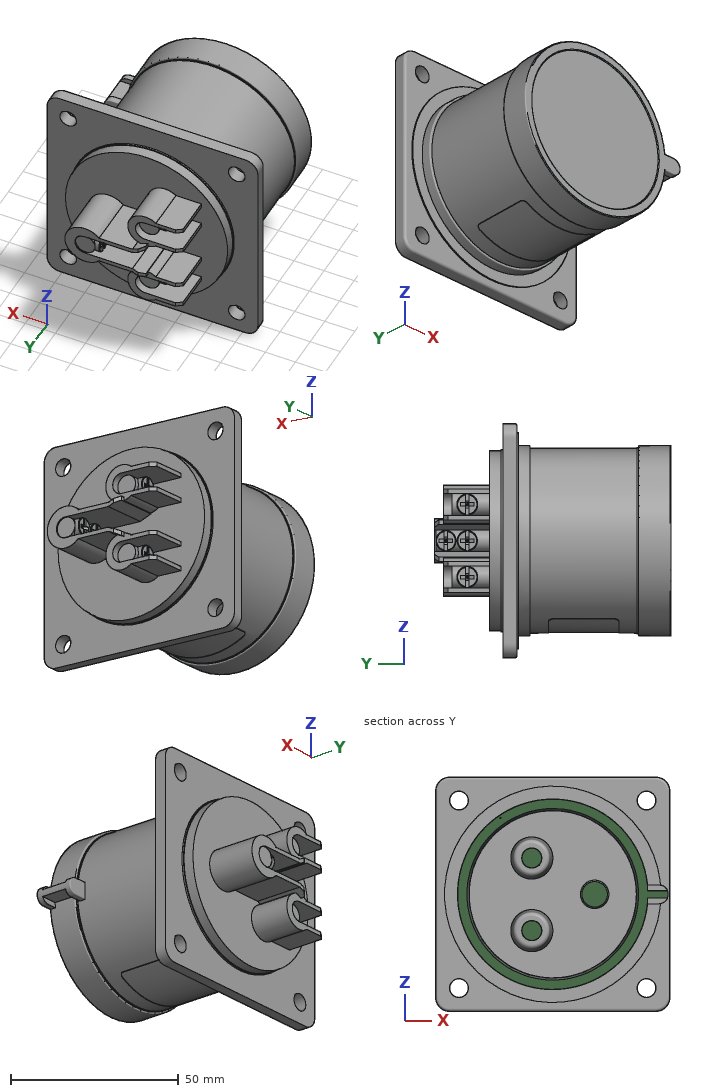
import cadquery as cq
import math


band_end = 9.75
collar_start = 42.15
plate_front = 45.95
plate_back = 50.3
rear_boss_end = 54.3
outer_terminal_end = 68.0
centre_terminal_end = 70.7

band_diameter = 56.9
tube_diameter = 55.3
band_lip_diameter = 55.65
band_lip_length = 0.4
mouth_diameter = 51.2
cavity_floor_diameter = 49.9
cavity_depth = plate_front
edge_round = 0.3

plate_side = 70.0
plate_corner_radius = 4.25
plate_edge_round = 0.85
plate_hole_diameter = 5.5
plate_hole_pitch = 56.0
plate_pad_diameter = 64.6
plate_pad_height = 0.4

rear_boss_diameter = 53.9
rear_step_diameter = 54.45
rear_step_length = 0.6

lug_tip = 34.5
lug_half_width = 2.8
lug_length = 13.0
lug_pocket_start = 2.1
lug_pocket_end = 10.9
lug_web_half_thickness = 1.1

pin_circle_radius = 12.5
pin_depth = 1.3
pin_tip_diameter = 3.4
outer_pin_diameter = 6.0
earth_pin_diameter = 8.5
tower_height = 9.9
tower_base_diameter = 12.6
tower_shoulder_diameter = 10.9
tower_top_diameter = 8.5

outer_barrel_diameter = 11.6
centre_barrel_diameter = 13.2
terminal_half_width = 4.6
channel_diameter = 6.5
outer_terminal_face = -18.25
centre_terminal_face = -7.15
flare_start = -3.3
flare_spread = 1.6
chamfer_depth = 2.0
chamfer_length = 1.35
outer_sleeve_recess = 2.6
centre_sleeve_recess = 0.4

screw_y = 60.9
second_screw_y = 67.25
outer_screw_diameter = 6.2
centre_screw_diameter = 6.0
screw_head_height = 1.4
screw_slot_width = 1.05
screw_cross_length = 4.0
screw_cross_height = 3.25
screw_slot_depth = 0.4
screw_cross_depth = 1.3
screw_edge_chamfer = 0.2

label_start = 15.6
label_end = 36.6
label_width = 29.4
label_corner_radius = 1.4
label_depth = 0.15

outer_angle = math.radians(120)
outer_pin_x = pin_circle_radius * math.cos(outer_angle)
outer_pin_z = pin_circle_radius * math.sin(outer_angle)
outer_centres = [(outer_pin_x, outer_pin_z), (outer_pin_x, -outer_pin_z)]
earth_centre = (pin_circle_radius, 0)


def section(y):
    """Workplane across the axis at station y, with local axes X and Z."""
    return cq.Workplane("XZ", origin=(0, y, 0))


def rod(diameter, start, end, centre=(0, 0)):
    """Round rod parallel to Y."""
    return section(start).center(*centre).circle(diameter / 2).extrude(start - end)


def build_barrel():
    band = rod(band_diameter, 0, band_end).edges().fillet(edge_round)
    tube = rod(tube_diameter, edge_round, plate_front)
    collar = rod(band_diameter, collar_start, plate_front).faces("<Y").edges().fillet(edge_round)
    lip = rod(band_lip_diameter, band_end, band_end + band_lip_length)
    return tube.union(band).union(lip).union(collar)


def build_label_recess():
    block = (
        cq.Workplane("XY")
        .center(0, (label_start + label_end) / 2)
        .rect(label_width, label_end - label_start)
        .extrude(-tube_diameter)
        .edges("|Z")
        .fillet(label_corner_radius)
    )
    return block.cut(rod(tube_diameter - 2 * label_depth, 0, plate_front))


def build_plate():
    plate = section(plate_front).rect(plate_side, plate_side).extrude(plate_front - plate_back)
    plate = plate.edges("|Y").fillet(plate_corner_radius)
    plate = plate.faces("<Y").edges().fillet(plate_edge_round)
    pad = rod(plate_pad_diameter, plate_front - plate_pad_height, plate_back)
    return plate.union(pad)


def build_plate_holes():
    return (
        section(plate_front)
        .rect(plate_hole_pitch, plate_hole_pitch, forConstruction=True)
        .vertices()
        .circle(plate_hole_diameter / 2)
        .extrude(plate_front - plate_back)
    )


def build_rear_boss():
    boss = rod(rear_boss_diameter, plate_back, rear_boss_end)
    return boss.union(rod(rear_step_diameter, plate_back, plate_back + rear_step_length))


def build_lug():
    root = (mouth_diameter + band_diameter) / 4
    arc_centre = lug_tip - lug_half_width
    lug = (
        section(0)
        .moveTo(root, -lug_half_width)
        .lineTo(arc_centre, -lug_half_width)
        .threePointArc((lug_tip, 0), (arc_centre, lug_half_width))
        .lineTo(root, lug_half_width)
        .close()
        .extrude(-lug_length)
        .faces("<Y or >Y")
        .edges()
        .fillet(edge_round)
    )
    pocket_length = lug_pocket_end - lug_pocket_start
    pocket_depth = lug_half_width - lug_web_half_thickness
    for side in (1, -1):
        pocket = cq.Workplane("XY").box(2 * lug_tip, pocket_length, pocket_depth).translate(
            (lug_tip, lug_pocket_start + pocket_length / 2,
             side * (lug_web_half_thickness + pocket_depth / 2))
        )
        lug = lug.cut(pocket)
    return lug


def build_cavity():
    cavity = (
        section(0)
        .circle(mouth_diameter / 2)
        .workplane(offset=-cavity_depth)
        .circle(cavity_floor_diameter / 2)
        .loft()
    )
    rim = cq.Solid.makeCone(
        mouth_diameter / 2 + edge_round, mouth_diameter / 2, edge_round,
        pnt=cq.Vector(0, 0, 0), dir=cq.Vector(0, 1, 0),
    )
    return cavity.union(cq.Workplane(rim))


def build_pin(diameter, centre):
    pin = rod(diameter, pin_depth, plate_back, centre)
    return pin.faces("<Y").edges().fillet((diameter - pin_tip_diameter) / 2)


def build_tower(centre):
    round_radius = (tower_shoulder_diameter - tower_top_diameter) / 2
    top = cavity_depth - tower_height
    shoulder = top + round_radius
    arc_middle = round_radius * math.sqrt(0.5)
    tower = (
        cq.Workplane("XY")
        .moveTo(0, top)
        .lineTo(tower_top_diameter / 2, top)
        .threePointArc(
            (tower_top_diameter / 2 + arc_middle, shoulder - arc_middle),
            (tower_shoulder_diameter / 2, shoulder),
        )
        .lineTo(tower_base_diameter / 2, cavity_depth)
        .lineTo(0, cavity_depth)
        .close()
        .revolve(360, (0, 0, 0), (0, 1, 0))
    )
    return tower.translate((centre[0], 0, centre[1]))


def chamfer_terminal(body, face_x, end):
    """Bevel the -X corner of a terminal's rear end."""
    wedge = (
        cq.Workplane("XY")
        .moveTo(face_x, end - chamfer_length)
        .lineTo(face_x, end)
        .lineTo(face_x + chamfer_depth, end)
        .close()
        .extrude(tube_diameter, both=True)
    )
    return body.cut(wedge)


def build_outer_terminal(centre):
    x, z = centre
    start = rear_boss_end
    length = outer_terminal_end - start
    reach = x - outer_terminal_face
    block_centre = (outer_terminal_face + reach / 2, z)
    barrel = rod(outer_barrel_diameter, start, outer_terminal_end, centre)
    block = section(start).center(*block_centre).rect(reach, 2 * terminal_half_width).extrude(-length)
    channel = section(start).center(*block_centre).rect(reach, channel_diameter).extrude(-length)
    bore = rod(channel_diameter, start, outer_terminal_end, centre)
    sleeve = rod(channel_diameter, start, outer_terminal_end - outer_sleeve_recess, centre)
    shell = chamfer_terminal(barrel.union(block), outer_terminal_face, outer_terminal_end)
    return shell.cut(channel).cut(bore).union(sleeve)


def build_flared_prism(half_width):
    """Prism from the earth pin to the centre terminal's face, widening beyond flare_start."""
    wide = half_width + flare_spread
    return (
        section(rear_boss_end)
        .polyline([
            (pin_circle_radius, half_width),
            (flare_start, half_width),
            (centre_terminal_face, wide),
            (centre_terminal_face, -wide),
            (flare_start, -half_width),
            (pin_circle_radius, -half_width),
        ])
        .close()
        .extrude(rear_boss_end - centre_terminal_end)
    )


def build_centre_terminal():
    start = rear_boss_end
    barrel = rod(centre_barrel_diameter, start, centre_terminal_end, earth_centre)
    shell = barrel.union(build_flared_prism(terminal_half_width))
    shell = chamfer_terminal(shell, centre_terminal_face, centre_terminal_end)
    bore = rod(channel_diameter, start, centre_terminal_end, earth_centre)
    sleeve = rod(channel_diameter, start, centre_terminal_end - centre_sleeve_recess, earth_centre)
    return shell.cut(build_flared_prism(channel_diameter / 2)).cut(bore).union(sleeve)


def build_cross_arm(plane, length):
    """V-shaped trough, deepest at the screw axis, with its open side at x = 0."""
    return (
        cq.Workplane(plane)
        .polyline([(0, -length / 2), (screw_cross_depth, 0), (0, length / 2)])
        .close()
        .extrude(screw_slot_width / 2, both=True)
    )


def build_screw(diameter, y, centre):
    """Screw head facing -X with a full-width slot and a pointed cross recess."""
    sleeve_side = centre[0] - channel_diameter / 2
    head = cq.Workplane("YZ").circle(diameter / 2).extrude(channel_diameter / 2 + screw_head_height)
    head = head.faces("<X").edges().chamfer(screw_edge_chamfer)
    head = head.cut(cq.Workplane("YZ").rect(screw_slot_width, diameter).extrude(screw_slot_depth))
    head = head.cut(build_cross_arm("XY", screw_cross_length))
    head = head.cut(build_cross_arm("XZ", screw_cross_height))
    return head.translate((sleeve_side - screw_head_height, y, centre[1]))


result = build_barrel().cut(build_label_recess())
result = result.union(build_plate()).union(build_rear_boss()).union(build_lug())
result = result.cut(build_cavity()).cut(build_plate_holes())

result = result.union(build_pin(earth_pin_diameter, earth_centre))
result = result.union(build_centre_terminal())
for pin_centre in outer_centres:
    result = result.union(build_tower(pin_centre))
    result = result.union(build_pin(outer_pin_diameter, pin_centre))
    result = result.union(build_outer_terminal(pin_centre))
    result = result.union(build_screw(outer_screw_diameter, screw_y, pin_centre))
for centre_screw_y in (screw_y, second_screw_y):
    result = result.union(build_screw(centre_screw_diameter, centre_screw_y, earth_centre))